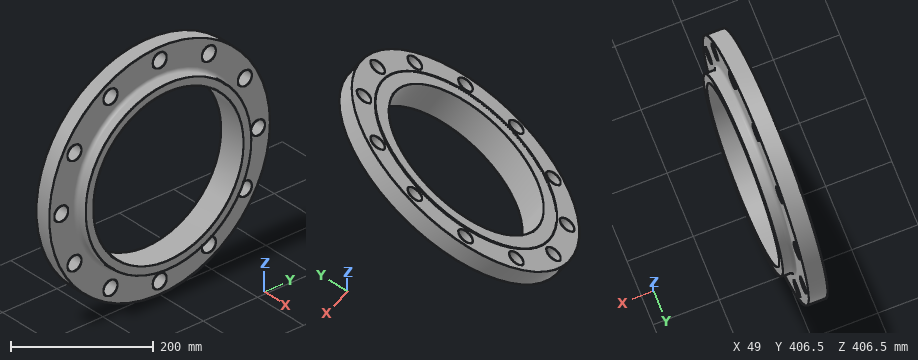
import cadquery as cq

flange_diameter = 406.5
raised_face_diameter = 324.0
hub_diameter = 305.0
bore_diameter = 276.5
overall_length = 49.0
raised_face_height = 1.5
flange_thickness = 28.5
hub_fillet_radius = 6.0

bolt_circle_diameter = 362.0
bolt_hole_diameter = 25.5
bolt_hole_count = 12

flange_back = raised_face_height + flange_thickness


def disc(diameter, start, end):
    """Solid disc on the X axis between two X positions."""
    return cq.Workplane("YZ", origin=(start, 0, 0)).circle(diameter / 2).extrude(end - start)


body = disc(flange_diameter, raised_face_height, flange_back)
body = body.union(disc(hub_diameter, flange_back, overall_length))
hub_corner = cq.selectors.RadiusNthSelector(0)
body = body.faces(">X[-2]").edges(hub_corner).fillet(hub_fillet_radius)

body = body.union(disc(raised_face_diameter, 0, raised_face_height))

body = body.cut(disc(bore_diameter, 0, overall_length))

bolt_holes = (
    cq.Workplane("YZ")
    .polarArray(bolt_circle_diameter / 2, 0, 360, bolt_hole_count)
    .circle(bolt_hole_diameter / 2)
    .extrude(flange_back)
)
result = body.cut(bolt_holes)